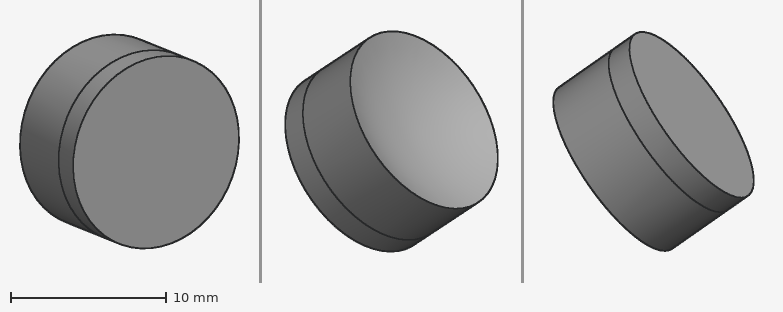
import cadquery as cq

DIAMETER = 12.7
TOTAL_LENGTH = 6.32
FRONT_EDGE_LENGTH = 4.6
DISH_DEPTH = 1.54

radius = DIAMETER / 2
dish_radius = (radius**2 + DISH_DEPTH**2) / (2 * DISH_DEPTH)

arc_mid_height = radius / 2
arc_mid_depth = DISH_DEPTH - dish_radius + (dish_radius**2 - arc_mid_height**2) ** 0.5


def revolve_about_axis(profile):
    """Turn a closed half profile in the XZ plane about the X axis."""
    return profile.revolve(360, (0, 0, 0), (1, 0, 0))


def make_front_lens():
    """Lens with a spherical hollow in its -X end and a flat +X end."""
    profile = (
        cq.Workplane("XZ")
        .moveTo(DISH_DEPTH, 0)
        .threePointArc((arc_mid_depth, arc_mid_height), (0, radius))
        .lineTo(FRONT_EDGE_LENGTH, radius)
        .lineTo(FRONT_EDGE_LENGTH, 0)
        .close()
    )
    return revolve_about_axis(profile)


def make_back_lens():
    """Plain disc seated on the flat end of the front lens."""
    profile = (
        cq.Workplane("XZ")
        .moveTo(FRONT_EDGE_LENGTH, 0)
        .lineTo(FRONT_EDGE_LENGTH, radius)
        .lineTo(TOTAL_LENGTH, radius)
        .lineTo(TOTAL_LENGTH, 0)
        .close()
    )
    return revolve_about_axis(profile)


front_lens = make_front_lens()
back_lens = make_back_lens()

result = cq.Compound.makeCompound([front_lens.val(), back_lens.val()])